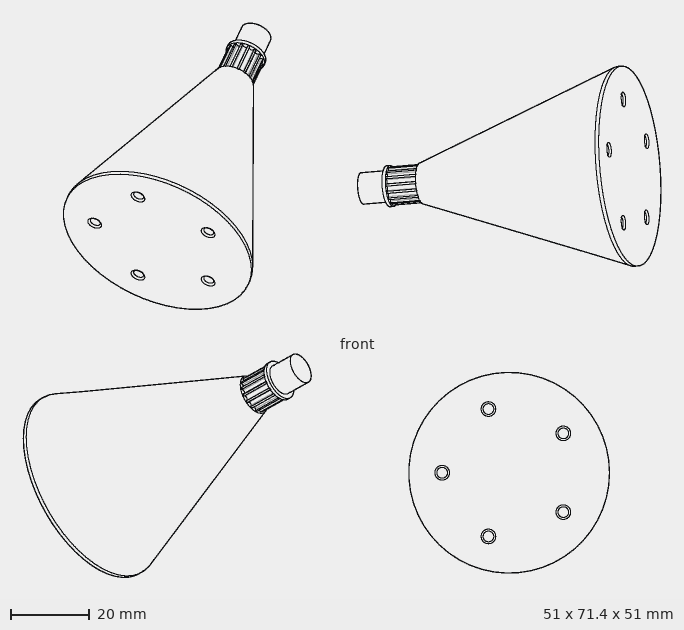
import cadquery as cq
import math

length = 71.4
base_y = -length / 2

rim_top = 1.0
cone_top = 55.55
collar_bottom = 63.55
collar_top = 64.5

base_diameter = 51.0
collar_diameter = 10.5
fluted_diameter = 9.8
tube_diameter = 8.1

flute_count = 16
flute_radius = 0.6
flute_center = 4.4
flute_flare = 180 / flute_count

hole_count = 5
hole_circle_radius = 17.0
hole_diameter = 2.7
hole_depth = 7.0
countersink_diameter = 3.7
countersink_angle = 90.0


def make_body():
    """Turn the rim, cone, neck, collar and tube as one solid."""
    base_radius = base_diameter / 2
    collar_radius = collar_diameter / 2
    neck_radius = fluted_diameter / 2
    tube_radius = tube_diameter / 2
    profile = [
        (0, 0),
        (base_radius, 0),
        (base_radius, rim_top),
        (collar_radius, cone_top),
        (neck_radius, cone_top),
        (neck_radius, collar_bottom),
        (collar_radius, collar_bottom),
        (collar_radius, collar_top),
        (tube_radius, collar_top),
        (tube_radius, length),
        (0, length),
    ]
    outline = cq.Workplane("XY", origin=(0, base_y, 0)).polyline(profile).close()
    return outline.revolve(360, (0, 0, 0), (0, 1, 0))


def make_flute():
    """Cutter for the flute on the +Z side: flaring walls tangent to a round floor."""
    flare = math.radians(flute_flare)
    outer_z = fluted_diameter / 2 + flute_radius
    tangent_x = flute_radius * math.cos(flare)
    tangent_z = flute_center - flute_radius * math.sin(flare)
    outer_x = tangent_x + (outer_z - tangent_z) * math.tan(flare)
    return (
        cq.Workplane("XZ", origin=(0, base_y + cone_top, 0))
        .moveTo(-outer_x, outer_z)
        .lineTo(-tangent_x, tangent_z)
        .threePointArc((0, flute_center - flute_radius), (tangent_x, tangent_z))
        .lineTo(outer_x, outer_z)
        .close()
        .extrude(cone_top - collar_bottom)
    )


def cut_flutes(body):
    """Cut the flutes at equal angles around the neck."""
    flute = make_flute()
    for index in range(flute_count):
        angle = index * 360 / flute_count
        body = body.cut(flute.rotate((0, 0, 0), (0, 1, 0), angle))
    return body


def cut_base_holes(body):
    """Drill the ring of holes, the first one on the -X side."""
    return (
        body.faces("<Y")
        .workplane(origin=(0, base_y, 0))
        .polarArray(hole_circle_radius, 180, 360, hole_count)
        .cskHole(hole_diameter, countersink_diameter, countersink_angle, hole_depth)
    )


result = cut_base_holes(cut_flutes(make_body()))